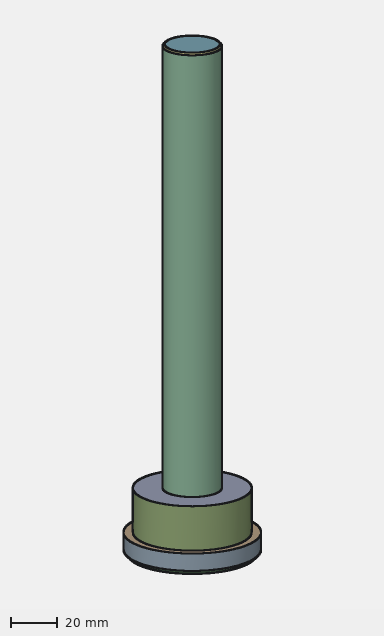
import cadquery as cq

total_height = 230.0
flange_diameter = 59.0
flange_height = 10.0
flange_chamfer = 2.0
collar_diameter = 51.0
collar_top = 30.0
shaft_diameter = 25.5
tip_chamfer = 1.0

collar_height = collar_top - flange_height
shaft_height = total_height - collar_top


def disc(diameter, height, base_height):
    """Upright cylinder on the Z axis, starting at base_height."""
    return cq.Workplane("XY").workplane(offset=base_height).circle(diameter / 2).extrude(height)


flange = disc(flange_diameter, flange_height, 0).faces("<Z").edges().chamfer(flange_chamfer)

collar = disc(collar_diameter, collar_height, flange_height)

shaft = disc(shaft_diameter, shaft_height, collar_top).faces(">Z").edges().chamfer(tip_chamfer)

result = flange.union(collar).union(shaft)